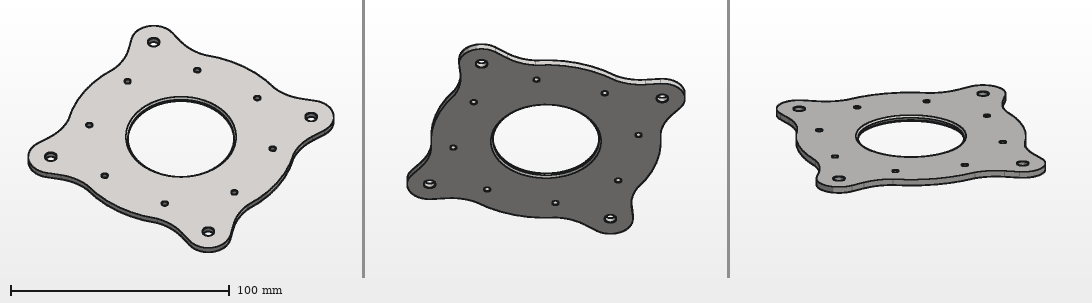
import cadquery as cq
import math

size = 106.6
thickness = 3.0
rim_radius = 52.5
rim_half_width = 19.1

lobe_radius = 10.3
lobe_offset = size / 2 - lobe_radius
flank_angle = 21.5
flank_length = 6.8
lobe_hole_diameter = 5.0

bore_diameter = 48.5
bore_chamfer = 1.0

ring_hole_count = 8
ring_radius = 42.5
ring_start_angle = 23.1
ring_hole_diameter = 2.6

small_hole_chamfer = 0.25


def turned(point, quarter_turns):
    """Rotate a point about the plate centre by whole quarter turns."""
    x, y = point
    for _ in range(quarter_turns):
        x, y = -y, x
    return (x, y)


def neck_arc_radius(flank_end, rim_end, slope):
    """Radius of the arc that leaves the flank end tangentially and reaches the rim end."""
    run = flank_end[0] - rim_end[0]
    rise = flank_end[1] - rim_end[1]
    chord_slope = math.atan2(rise, run)
    return math.hypot(run, rise) / (2 * math.sin(slope - chord_slope))


def make_plate():
    """Solid plate: the top side and its left-hand lobe, repeated at each quarter turn."""
    slope = math.radians(flank_angle)
    rim_y = math.sqrt(rim_radius**2 - rim_half_width**2)
    lobe_end_x = lobe_offset - lobe_radius * math.sin(slope)
    lobe_end_y = lobe_offset + lobe_radius * math.cos(slope)
    neck_x = lobe_end_x - flank_length * math.cos(slope)
    neck_y = lobe_end_y - flank_length * math.sin(slope)
    lobe_tip = lobe_offset + lobe_radius * math.sqrt(0.5)
    neck_radius = neck_arc_radius((neck_x, neck_y), (rim_half_width, rim_y), slope)

    outline = cq.Workplane("XY").moveTo(rim_half_width, rim_y)
    for turn in range(4):
        outline = (
            outline
            .threePointArc(turned((0, rim_radius), turn), turned((-rim_half_width, rim_y), turn))
            .radiusArc(turned((-neck_x, neck_y), turn), neck_radius)
            .lineTo(*turned((-lobe_end_x, lobe_end_y), turn))
            .threePointArc(turned((-lobe_tip, lobe_tip), turn), turned((-lobe_end_y, lobe_end_x), turn))
            .lineTo(*turned((-neck_y, neck_x), turn))
            .radiusArc(turned((-rim_y, rim_half_width), turn), neck_radius)
        )
    return outline.close().extrude(thickness)


def chamfered_hole(diameter, chamfer):
    """Cutter for a through hole on the Z axis that widens at both faces."""
    radius = diameter / 2
    mouth_radius = radius + chamfer
    return (
        cq.Workplane("XZ")
        .polyline([
            (0, 0),
            (mouth_radius, 0),
            (radius, chamfer),
            (radius, thickness - chamfer),
            (mouth_radius, thickness),
            (0, thickness),
        ])
        .close()
        .revolve(360, (0, 0, 0), (0, 1, 0))
    )


def cut_bore(plate):
    return plate.cut(chamfered_hole(bore_diameter, bore_chamfer))


def cut_lobe_holes(plate):
    hole = chamfered_hole(lobe_hole_diameter, small_hole_chamfer)
    for turn in range(4):
        x, y = turned((lobe_offset, lobe_offset), turn)
        plate = plate.cut(hole.translate((x, y, 0)))
    return plate


def cut_ring_holes(plate):
    hole = chamfered_hole(ring_hole_diameter, small_hole_chamfer).translate((ring_radius, 0, 0))
    for index in range(ring_hole_count):
        angle = ring_start_angle + index * 360 / ring_hole_count
        plate = plate.cut(hole.rotate((0, 0, 0), (0, 0, 1), angle))
    return plate


result = make_plate()
result = cut_bore(result)
result = cut_lobe_holes(result)
result = cut_ring_holes(result)